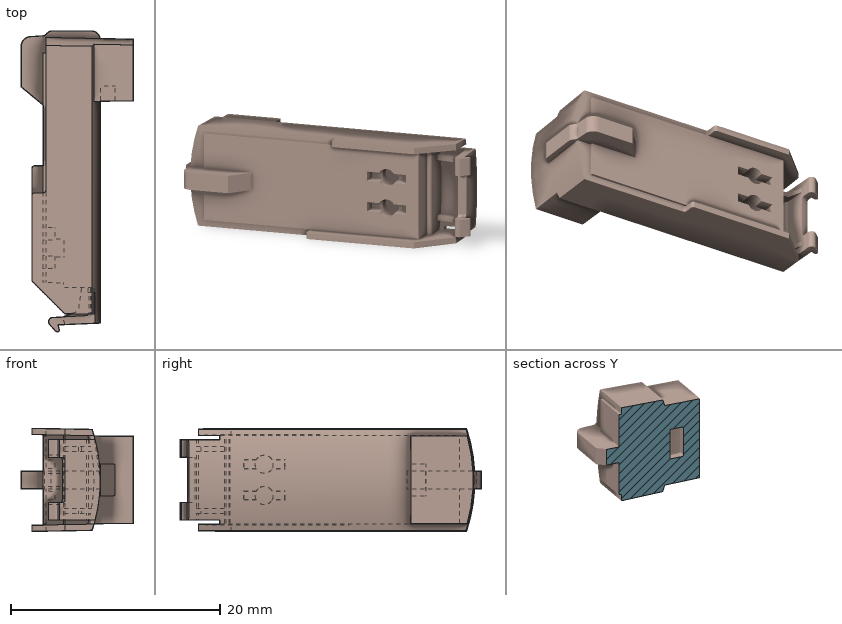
import cadquery as cq


length = 28.8
width = 9.88
front_x = 2.35
back_edge_x = 6.8
back_x = 7.57
edge_half_width = 4.85
end_y = 28.2
end_corner_y = 27.4
end_tilt = -1.2
deck_y = 4.23
deck_x = 4.03
step_bevel = 0.15

face_x = 2.1
face_half_width = 4.23
face_near_y = 4.78
face_near_slant = 0.12
face_far_y = 26.7

plate_x = 1.05
plate_end_y = 1.73
plate_bevel = 3.15
plate_thickness = 0.6
upper_step_y = 13.3
lower_step_y = 15.9
step_round = 0.25

wall_thickness = 0.6
wall_half_width = 3.85
wall_shoulder_y = 3.77
panel_outer_y = 0.84
panel_inner_y = 1.55
panel_drop = 0.17
hook_x = 2.62
hook_thickness = 1.07
hook_bevel = 0.15
hook_slope_low_y = 0.15
hook_slope_high_y = 0.7
hook_half_gap = 2.15
panel_corner_x = 6.45
panel_corner_bevel = 0.17
notch_x = 4.1
notch_tilt = 18.0
notch_round = 0.25

gusset_thickness = 0.45
gusset_z = 2.97
gusset_deck_x = 5.8
gusset_bend_x = 5.47
gusset_bend_y = 2.0
gusset_toe_x = 3.83

opening_y = 8.04
opening_z = 1.5
opening_length = 3.97
opening_width = 0.9
opening_diameter = 1.73
slot_depth = 1.15
slot_taper = 3.0
hole_depth = 2.02

block_x = 10.75
block_near_y = 22.0
block_near_rise = 0.1
block_half_width = 4.23
block_draft = 0.05
pocket_x = 9.0
pocket_half_width = 1.53
pocket_depth = 1.45
pocket_round = 0.17

tab_thickness = 1.7
tab_near_y = 23.45
tab_far_y = 27.35
tab_root_y = 21.48
tab_corner_x = 0.8
tab_corner_y = 28.25
tab_shoulder_x = 2.22
tab_shoulder_y = 28.35
tab_crest_x = 2.85
tab_crest_run = 0.2
tab_crest_drop = 0.1
tab_inner_y = 25.92
tab_back_y = 28.08

half_width = width / 2
past = 1.45


def slab(outline, z_low, z_high):
    """Extrude a closed XY outline between two Z heights."""
    return outline.close().extrude(z_high - z_low).translate((0, 0, z_low))


def along_y(section, y_low, y_high):
    """Extrude a closed XZ section between two Y positions."""
    return section.close().extrude(y_low - y_high).translate((0, y_low, 0))


def xz():
    return cq.Workplane("XZ")


def xy(points):
    return cq.Workplane("XY").polyline(points)


def housing_envelope():
    """Cross section of the housing over its full length."""
    section = (
        xz()
        .moveTo(plate_x, -half_width)
        .lineTo(back_edge_x, -edge_half_width)
        .threePointArc((back_x, 0), (back_edge_x, edge_half_width))
        .lineTo(plate_x, half_width)
    )
    return along_y(section, 0, length)


def far_end_envelope():
    """Everything on the near side of the bowed, slightly tilted far end."""
    profile = (
        cq.Workplane("YZ")
        .moveTo(-past, -half_width)
        .lineTo(end_corner_y, -half_width)
        .threePointArc((end_y, 0), (end_corner_y, half_width))
        .lineTo(-past, half_width)
        .close()
        .extrude(block_x + past)
    )
    pivot = (front_x, end_y, 0)
    return profile.rotate(pivot, (front_x, end_y, 1), end_tilt)


def near_end_y(x):
    """Y of the slanted near end between the front face and the step."""
    return face_near_y - face_near_slant * (x - face_x) / (deck_x - face_x)


def housing_body():
    outline = xy([
        (front_x, near_end_y(front_x)),
        (deck_x, near_end_y(deck_x)),
        (deck_x, deck_y + step_bevel),
        (deck_x + step_bevel, deck_y),
        (back_x, deck_y),
        (back_x, length),
        (front_x, length),
    ])
    return slab(outline, -half_width, half_width).intersect(housing_envelope())


def front_face():
    outline = xy([
        (face_x, near_end_y(face_x)),
        (deck_x, near_end_y(deck_x)),
        (deck_x, face_far_y),
        (face_x, face_far_y),
    ])
    return slab(outline, -face_half_width, face_half_width)


def side_plate(side, step_y):
    """Plate on one side; its front part stands out up to step_y."""
    outline = xy([
        (plate_x, plate_end_y + plate_bevel),
        (plate_x + plate_bevel, plate_end_y),
        (back_x, plate_end_y),
        (back_x, end_corner_y),
        (front_x, end_corner_y),
        (front_x, step_y),
        (plate_x, step_y),
    ])
    plate = slab(outline, -half_width, half_width)
    plate = plate.edges(cq.selectors.BoxSelector(
        (plate_x - 0.3, step_y - 0.3, -half_width - 0.3),
        (front_x + 0.3, step_y + 0.3, half_width + 0.3),
    )).edges("|Z").fillet(step_round)
    lean = (half_width - edge_half_width) * (back_x - plate_x) / (back_edge_x - plate_x)
    inner = half_width - plate_thickness
    section = xz().polyline([
        (plate_x, side * inner),
        (back_x, side * (inner - lean)),
        (back_x, side * half_width),
        (plate_x, side * half_width),
    ])
    return plate.intersect(along_y(section, 0, length)).intersect(housing_envelope())


def back_wall():
    """Bowed wall from the deck down to the panel, narrowed below a shoulder."""
    section = (
        xz()
        .moveTo(back_edge_x - wall_thickness, -edge_half_width)
        .threePointArc((back_x - wall_thickness, 0), (back_edge_x - wall_thickness, edge_half_width))
        .lineTo(back_x, edge_half_width)
        .lineTo(back_x, -edge_half_width)
    )
    wall = along_y(section, panel_outer_y, deck_y).intersect(housing_envelope())
    for side in (-1, 1):
        shoulder = cq.Workplane("XY").box(
            back_x, wall_shoulder_y, past, centered=(False, False, True)
        ).translate((0, 0, side * (wall_half_width + past / 2)))
        wall = wall.cut(shoulder)
    between_plates = cq.Workplane("XY").box(2 * block_x, 2 * length, 2 * face_half_width)
    return wall.intersect(between_plates)


def latch_panel():
    """Panel across the near end with two hooks on its free edge."""
    free_inner_y = panel_inner_y - panel_drop
    free_outer_y = panel_outer_y - panel_drop
    hook_back_x = hook_x + hook_thickness
    corner_top_y = panel_inner_y + panel_corner_bevel
    outline = (
        cq.Workplane("XY")
        .moveTo(back_x, panel_outer_y)
        .lineTo(hook_back_x - hook_bevel, free_outer_y)
        .lineTo(hook_back_x, hook_bevel)
        .lineTo(hook_back_x - hook_bevel, 0)
        .threePointArc((hook_back_x - 0.32, 0.03), (hook_back_x - 0.45, hook_slope_low_y))
        .lineTo(hook_x + 0.12, hook_slope_high_y)
        .threePointArc((hook_x, 1.05), (hook_x + 0.35, free_inner_y))
        .lineTo(panel_corner_x - panel_corner_bevel, panel_inner_y)
        .lineTo(panel_corner_x, corner_top_y)
        .lineTo(back_x, corner_top_y)
    )
    panel = slab(outline, -wall_half_width, wall_half_width)
    notch = (
        cq.Workplane("XY")
        .box(2 * past, 4 * past, 2 * hook_half_gap)
        .edges("|Y and >X")
        .fillet(notch_round)
        .translate((notch_x - past, 0, 0))
        .rotate((notch_x, 0, 0), (notch_x, 0, 1), notch_tilt)
        .translate((0, (free_inner_y + free_outer_y) / 2, 0))
    )
    return panel.cut(notch).intersect(housing_envelope())


def gusset(side):
    toe_y = panel_inner_y - panel_drop
    outline = xy([
        (gusset_deck_x, deck_y),
        (gusset_bend_x, gusset_bend_y),
        (gusset_toe_x, toe_y),
        (back_edge_x, toe_y),
        (back_edge_x, deck_y),
    ])
    middle = side * gusset_z
    return slab(outline, middle - gusset_thickness / 2, middle + gusset_thickness / 2)


def contact_opening(z):
    """Tapered slot with a deeper round hole in its middle."""
    plane = cq.Workplane("YZ", origin=(face_x, opening_y, z))
    slot = plane.rect(opening_length, opening_width).extrude(slot_depth, taper=slot_taper)
    return slot.union(plane.circle(opening_diameter / 2).extrude(hole_depth))


def far_block():
    outline = xy([
        (front_x, block_near_y),
        (block_x, block_near_y + block_near_rise),
        (block_x, length),
        (front_x, length),
    ])
    block = slab(outline, -half_width, half_width)
    tip_half_width = block_half_width - block_draft
    section = xz().polyline([
        (front_x, -block_half_width),
        (block_x, -tip_half_width),
        (block_x, tip_half_width),
        (front_x, block_half_width),
    ])
    return block.intersect(along_y(section, 0, length))


def block_pocket():
    pocket_length = pocket_x - back_x
    return (
        cq.Workplane("XY")
        .box(pocket_length, pocket_depth + block_near_rise, 2 * pocket_half_width,
             centered=(False, False, True))
        .edges("|Y and >X")
        .fillet(pocket_round)
        .translate((back_x, block_near_y, 0))
    )


def finger_tab():
    outline = (
        cq.Workplane("XY")
        .moveTo(0, tab_near_y)
        .lineTo(0, tab_far_y)
        .threePointArc((0.25, 27.96), (tab_corner_x, tab_corner_y))
        .lineTo(tab_shoulder_x, tab_shoulder_y)
        .lineTo(tab_crest_x - tab_crest_run, length - tab_crest_drop)
        .lineTo(tab_crest_x, length)
        .lineTo(back_edge_x, length)
        .threePointArc((7.25, 28.6), (back_x, tab_back_y))
        .lineTo(back_x, tab_inner_y)
        .lineTo(front_x, tab_root_y)
    )
    return slab(outline, -tab_thickness / 2, tab_thickness / 2)


housing = (
    housing_body()
    .union(side_plate(1, upper_step_y))
    .union(side_plate(-1, lower_step_y))
    .union(far_block())
    .intersect(far_end_envelope())
)
result = housing.union(front_face()).union(back_wall()).union(latch_panel()).union(finger_tab())
for side in (-1, 1):
    result = result.union(gusset(side)).cut(contact_opening(side * opening_z))
result = result.cut(block_pocket())